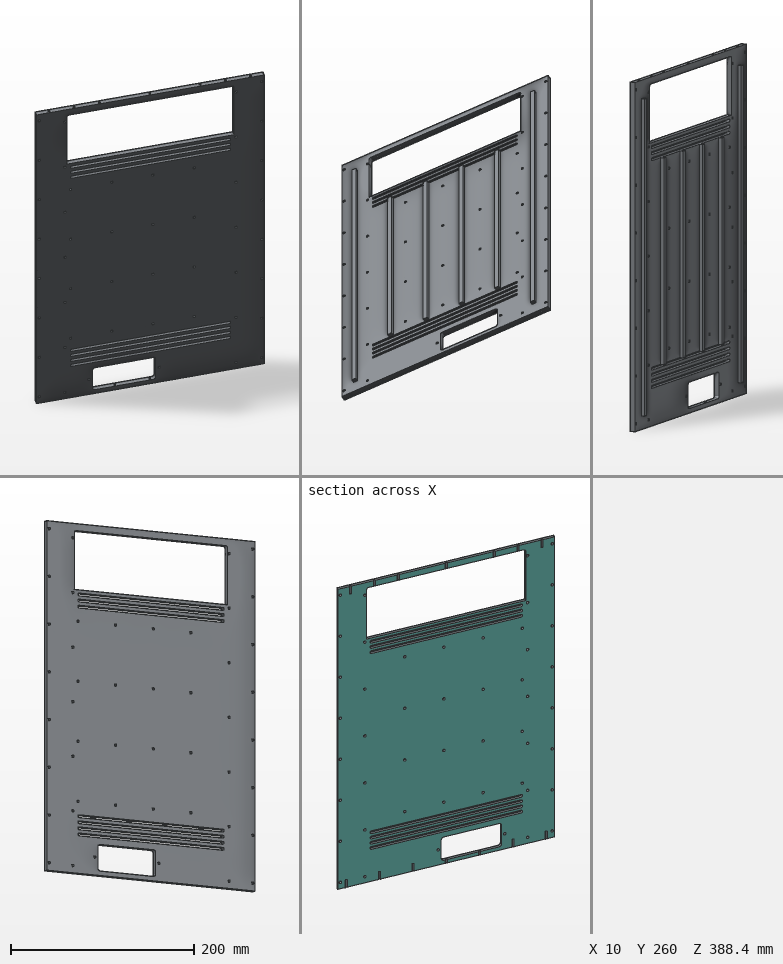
import cadquery as cq
plate_width = 260.0
plate_height = 388.37
plate_thickness = 6.0
rib_height = 4.0
overall_depth = plate_thickness + rib_height
rib_face_x = -overall_depth / 2
plate_front_x = rib_face_x + rib_height
plate_mid_x = plate_front_x + plate_thickness / 2
plate_top_z = plate_height / 2
plate_bottom_z = -plate_height / 2

screw_diameter = 2.53
edge_screw_diameter = 2.08
edge_screw_depth = 10.0

border_column_y = 127.1
border_rows = 8
border_pitch = 53.03

inner_column_y = 97.6
inner_rows = 7
inner_pitch = 60.67
inner_bottom_z = plate_bottom_z + 8.1

grid_columns = 4
grid_rows = 4
grid_pitch_y = 47.0
grid_pitch_z = 66.7
grid_center_y = -20.7
grid_top_z = plate_top_z - 108.4

top_screw_span = 115.0
top_screw_ys = [top_screw_span * quarter / 4 for quarter in (-4, -3, -2, 0, 2, 3, 4)]
bottom_screw_pitch = 40.0
bottom_screw_ys = [bottom_screw_pitch * step for step in range(-3, 4)]

large_window_width = 191.0
large_window_height = 65.5
large_window_top_z = plate_top_z - 7.8
large_window_radius = 2.5
small_window_width = 72.0
small_window_height = 29.5
small_window_y = -30.2
small_window_z = plate_bottom_z + 19.75
small_window_radius = 3.0
window_screw_offset = 40.0
window_screw_z = plate_bottom_z + 20.0

slot_length = 182.5
slot_width = 3.0
slot_pitch = 6.75
upper_slot_count = 3
lower_slot_count = 4
upper_slots_z = plate_top_z - 78.4
lower_slots_z = plate_bottom_z + 63.6

rib_width = 5.0
rib_pitch = 45.0
outer_rib_ys = [rib_pitch * step for step in (-2.5, 2.5)]
outer_rib_top_z = plate_top_z - 20.5
outer_rib_bottom_z = plate_bottom_z + 15.2
inner_rib_ys = [rib_pitch * step for step in (-1.5, -0.5, 0.5, 1.5)]
inner_rib_top_z = upper_slots_z - (upper_slot_count - 1) * slot_pitch - slot_width / 2
inner_rib_bottom_z = lower_slots_z + slot_width / 2


def block(x_start, depth, y_center, width, z_bottom, z_top):
    """Box starting at x_start and running along +X."""
    height = z_top - z_bottom
    return cq.Workplane("XY").box(depth, width, height).translate(
        (x_start + depth / 2, y_center, z_bottom + height / 2)
    )


def add_ribs(body):
    """Two long outer ribs, and inner ribs that end at the slots."""
    for y in outer_rib_ys:
        rib = block(rib_face_x, rib_height, y, rib_width, outer_rib_bottom_z, outer_rib_top_z)
        body = body.union(rib)
    for y in inner_rib_ys:
        rib = block(rib_face_x, rib_height, y, rib_width, inner_rib_bottom_z, inner_rib_top_z)
        body = body.union(rib)
    return body


def cut_large_window(body):
    """Window with rounded upper corners and square lower corners."""
    window = block(
        plate_front_x, plate_thickness, 0, large_window_width,
        large_window_top_z - large_window_height, large_window_top_z,
    )
    window = window.faces(">Z").edges("|X").fillet(large_window_radius)
    return body.cut(window)


def cut_small_window(body):
    """Window with all four corners rounded."""
    window = block(
        plate_front_x, plate_thickness, small_window_y, small_window_width,
        small_window_z - small_window_height / 2, small_window_z + small_window_height / 2,
    )
    window = window.edges("|X").fillet(small_window_radius)
    return body.cut(window)


def cut_slots(body, top_z, count):
    """Cut a group of round-ended slots, stacked downwards from top_z."""
    points = [(0, top_z - row * slot_pitch) for row in range(count)]
    slots = (
        cq.Workplane("YZ", origin=(plate_front_x, 0, 0))
        .pushPoints(points)
        .slot2D(slot_length, slot_width)
        .extrude(plate_thickness)
    )
    return body.cut(slots)


def drill_face_screws(body):
    """Cut the round through holes along X."""
    border_bottom_z = -border_pitch * (border_rows - 1) / 2
    border = [
        (side * border_column_y, border_bottom_z + row * border_pitch)
        for side in (-1, 1)
        for row in range(border_rows)
    ]
    inner = [
        (side * inner_column_y, inner_bottom_z + row * inner_pitch)
        for side in (-1, 1)
        for row in range(inner_rows)
    ]
    grid_first_y = grid_center_y - grid_pitch_y * (grid_columns - 1) / 2
    grid = [
        (grid_first_y + column * grid_pitch_y, grid_top_z - row * grid_pitch_z)
        for column in range(grid_columns)
        for row in range(grid_rows)
    ]
    window = [(small_window_y + side * window_screw_offset, window_screw_z) for side in (-1, 1)]
    cutters = (
        cq.Workplane("YZ", origin=(plate_front_x, 0, 0))
        .pushPoints(border + inner + grid + window)
        .circle(screw_diameter / 2)
        .extrude(plate_thickness)
    )
    return body.cut(cutters)


def drill_edge(body, y_positions, z_start):
    """Cut blind holes along Z at mid-thickness, starting at height z_start."""
    cutters = (
        cq.Workplane("XY", origin=(plate_mid_x, 0, z_start))
        .pushPoints([(0, y) for y in y_positions])
        .circle(edge_screw_diameter / 2)
        .extrude(edge_screw_depth)
    )
    return body.cut(cutters)


plate = block(plate_front_x, plate_thickness, 0, plate_width, plate_bottom_z, plate_top_z)
plate = cut_large_window(plate)
plate = cut_small_window(plate)
plate = cut_slots(plate, upper_slots_z, upper_slot_count)
plate = cut_slots(plate, lower_slots_z, lower_slot_count)
plate = add_ribs(plate)
plate = drill_face_screws(plate)
plate = drill_edge(plate, top_screw_ys, plate_top_z - edge_screw_depth)
result = drill_edge(plate, bottom_screw_ys, plate_bottom_z)